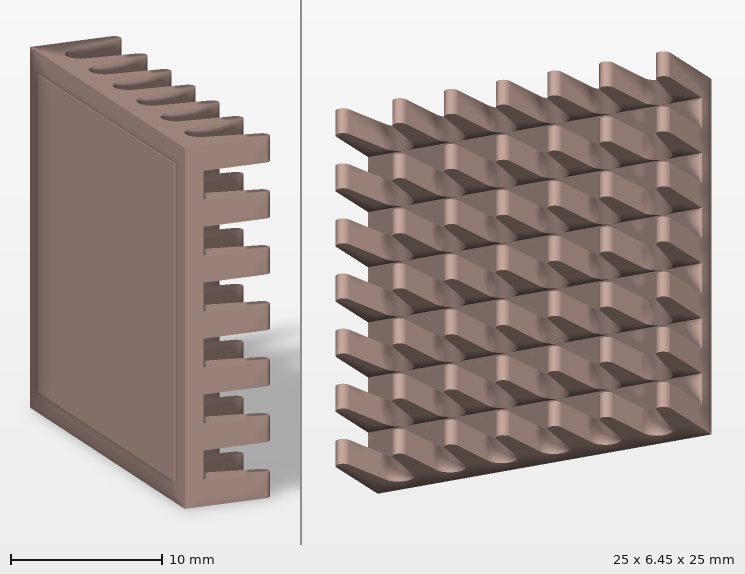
import cadquery as cq
import math

side = 25.0
total_depth = 6.45

pad_side = 22.0
pad_thickness = 0.1

pin_count = 7
pin_height = 5.0
pin_width = 1.75
tip_radius = 0.5

gap_count = pin_count - 1
slot_width = (side - pin_count * pin_width) / gap_count
pitch = pin_width + slot_width
groove_radius = slot_width / 2

tip_y = total_depth - pad_thickness
floor_y = tip_y - pin_height
tip_center_y = tip_y - tip_radius
groove_center_y = floor_y + groove_radius


def row_positions(count):
    """Centres of a row of evenly pitched items, symmetric about zero."""
    return [(i - (count - 1) / 2) * pitch for i in range(count)]


groove_xs = row_positions(gap_count)
tip_xs = row_positions(pin_count)
tip_xs[0] = -side / 2 + tip_radius
tip_xs[-1] = side / 2 - tip_radius


def flank(tip_x, groove_x):
    """Ends of the straight flank tangent to a tip and to the groove beside it: (on tip, on groove)."""
    run = abs(groove_x - tip_x)
    drop = tip_center_y - groove_center_y
    center_distance = math.hypot(run, drop)
    tilt = math.atan2(run, drop) - math.asin((tip_radius + groove_radius) / center_distance)
    toward_groove = math.copysign(1, groove_x - tip_x)
    normal_x = toward_groove * math.cos(tilt)
    normal_y = math.sin(tilt)
    on_tip = (tip_x + tip_radius * normal_x, tip_center_y + tip_radius * normal_y)
    on_groove = (groove_x - groove_radius * normal_x, groove_center_y - groove_radius * normal_y)
    return on_tip, on_groove


def make_finned_block():
    """Base and tapered fins, extruded along the full Z length."""
    outline = (
        cq.Workplane("XY")
        .workplane(offset=-side / 2)
        .moveTo(-side / 2, 0)
        .lineTo(-side / 2, tip_center_y)
    )
    for left_tip_x, groove_x, right_tip_x in zip(tip_xs, groove_xs, tip_xs[1:]):
        left_tip_end, groove_start = flank(left_tip_x, groove_x)
        right_tip_start, groove_end = flank(right_tip_x, groove_x)
        outline = (
            outline.threePointArc((left_tip_x, tip_y), left_tip_end)
            .lineTo(*groove_start)
            .threePointArc((groove_x, floor_y), groove_end)
            .lineTo(*right_tip_start)
        )
    return (
        outline.threePointArc((tip_xs[-1], tip_y), (side / 2, tip_center_y))
        .lineTo(side / 2, 0)
        .close()
        .extrude(side)
    )


def make_cross_slots():
    """Flat-bottomed slots along X that divide the fins into pins."""
    return (
        cq.Workplane("XZ", origin=(0, tip_y, 0))
        .pushPoints([(0, z) for z in row_positions(gap_count)])
        .rect(side, slot_width)
        .extrude(pin_height)
    )


def make_pad():
    """Thin square pad centred on the -Y face of the base."""
    return cq.Workplane("XZ").rect(pad_side, pad_side).extrude(pad_thickness)


result = make_finned_block().cut(make_cross_slots()).union(make_pad())